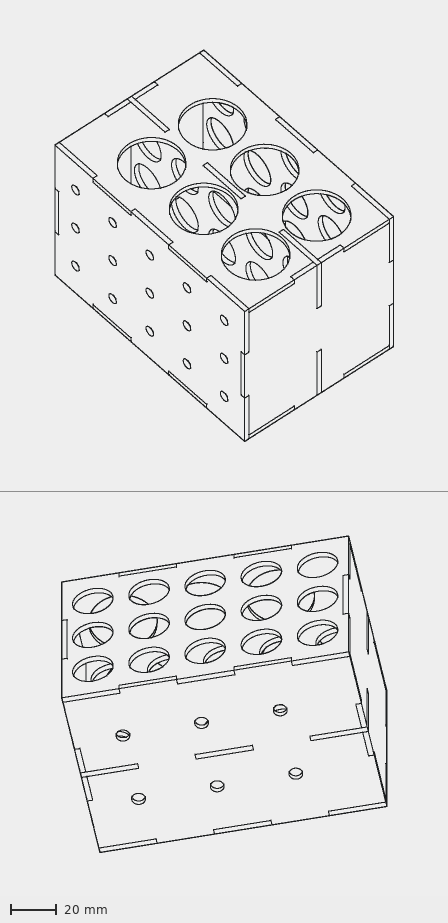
import cadquery as cq

LENGTH = 127.76
DEPTH = 85.48
HEIGHT = 85.48
THICKNESS = 2.5

LONG_FINGER = LENGTH / 5
DEPTH_FINGER = DEPTH / 3
HEIGHT_FINGER = HEIGHT / 3

WALL_COLUMNS = 5
WALL_ROWS = 3
WALL_HOLE_PITCH = 25
FRONT_HOLE_DIAMETER = 5
WINDOW_DIAMETER = 18

BOTTLE_COLUMNS = 3
BOTTLE_ROWS = 2
BOTTLE_PITCH = 35
BOTTLE_CENTRE_X = 6.62
BOTTLE_DIAMETER = 30
DRAIN_DIAMETER = 6

WALL_Y = (DEPTH - THICKNESS) / 2
END_X = (LENGTH - THICKNESS) / 2
DECK_Z = (HEIGHT - THICKNESS) / 2


def box_at(size, centre):
    return cq.Workplane("XY").box(*size).translate(centre)


def make_wall(y, hole_diameter):
    """Upright lengthwise panel: owns its corners, notched for the end and deck fingers."""
    wall = box_at((LENGTH, THICKNESS, HEIGHT), (0, y, 0))
    for side in (-1, 1):
        wall = wall.cut(box_at((THICKNESS, THICKNESS, HEIGHT_FINGER), (side * END_X, y, 0)))
        for x in (-LONG_FINGER, LONG_FINGER):
            wall = wall.cut(box_at((LONG_FINGER, THICKNESS, THICKNESS), (x, y, side * DECK_Z)))
    holes = (
        cq.Workplane("XZ")
        .rarray(WALL_HOLE_PITCH, WALL_HOLE_PITCH, WALL_COLUMNS, WALL_ROWS)
        .circle(hole_diameter / 2)
        .extrude(THICKNESS / 2, both=True)
        .translate((0, y, 0))
    )
    return wall.cut(holes)


def make_deck(z, hole_diameter, walls):
    """Horizontal panel: notched for the end panels' middle fingers and the wall fingers."""
    deck = box_at((LENGTH, DEPTH, THICKNESS), (0, 0, z))
    for x in (-END_X, END_X):
        deck = deck.cut(box_at((THICKNESS, DEPTH_FINGER, THICKNESS), (x, 0, z)))
    holes = (
        cq.Workplane("XY")
        .center(BOTTLE_CENTRE_X, 0)
        .rarray(BOTTLE_PITCH, BOTTLE_PITCH, BOTTLE_COLUMNS, BOTTLE_ROWS)
        .circle(hole_diameter / 2)
        .extrude(THICKNESS / 2, both=True)
        .translate((0, 0, z))
    )
    deck = deck.cut(holes)
    for wall in walls:
        deck = deck.cut(wall)
    return deck


def make_end(x, walls, decks):
    """Upright end panel: fills whatever the walls and decks leave free in its plane."""
    end = box_at((THICKNESS, DEPTH, HEIGHT), (x, 0, 0))
    for neighbour in walls + decks:
        end = end.cut(neighbour)
    return end


front_wall = make_wall(-WALL_Y, FRONT_HOLE_DIAMETER)
middle_wall = make_wall(0, WINDOW_DIAMETER)
back_wall = make_wall(WALL_Y, WINDOW_DIAMETER)
walls = [front_wall, middle_wall, back_wall]

top_deck = make_deck(DECK_Z, BOTTLE_DIAMETER, walls)
bottom_deck = make_deck(-DECK_Z, DRAIN_DIAMETER, walls)
decks = [top_deck, bottom_deck]

left_end = make_end(-END_X, walls, decks)
right_end = make_end(END_X, walls, decks)
ends = [left_end, right_end]

result = cq.Compound.makeCompound([panel.val() for panel in walls + decks + ends])